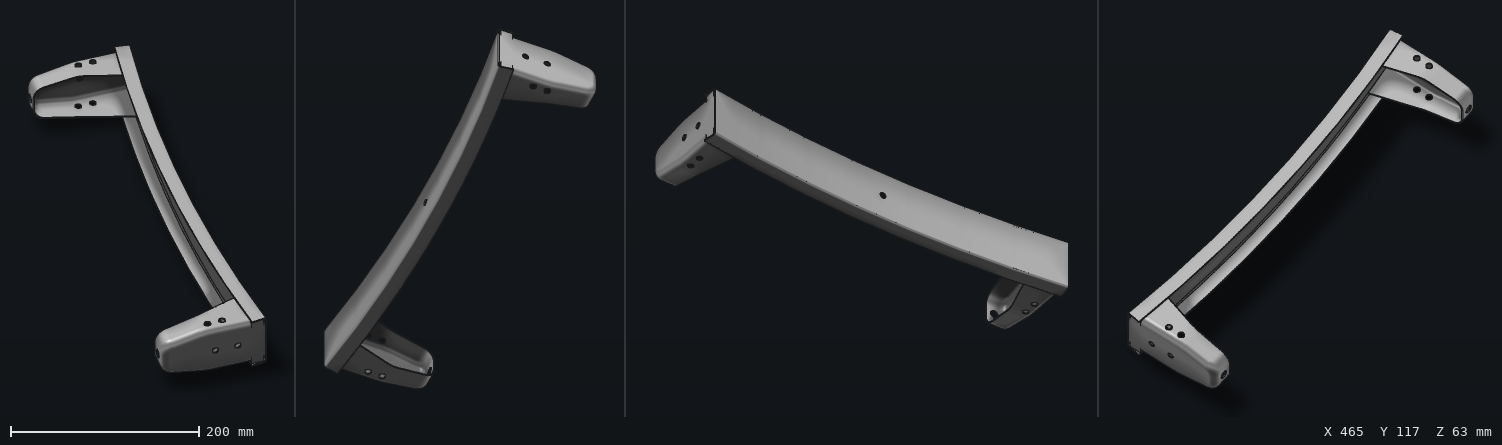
import cadquery as cq
import math

LENGTH = 465.0
DEPTH = 117.0
HEIGHT = 63.0
SHEET = 1.5

FRONT_RADIUS = 1627.5
BAR_DEPTH = 17.0
BEND_RADIUS = 3.0
BACK_RADIUS = FRONT_RADIUS - BAR_DEPTH
HALF_ANGLE = math.asin(LENGTH / 2 / FRONT_RADIUS)
ARC_CENTER_Y = BACK_RADIUS * math.cos(HALF_ANGLE)
BAR_END_FRONT_Y = ARC_CENTER_Y - FRONT_RADIUS * math.cos(HALF_ANGLE)

LEG_OUTER_X = -BACK_RADIUS * math.sin(HALF_ANGLE)
LEG_HALF_HEIGHT = HEIGHT / 2 - SHEET
LEG_BACK_Y = 0.0
LEG_BLANK_WIDTH = 56.0
TAPER_START_Y = -66.5
TAPER_ANGLE = 11.0
TAPER_RADIUS = 74.5
TOE_RADIUS = 15.0
LEG_EDGE_RADIUS = 8.5
CORNER_BACK_Y = -3.3

RIM_ROOT_Y = -23.2
RIM_ROOT_WIDTH = 42.0
RIM_KNEE_Y = -67.5
RIM_KNEE_WIDTH = 28.5
RIM_TOE_WIDTH = 25.0
RIM_KNEE_RADIUS = 51.0

SMALL_HOLE = 7.0
TOE_HOLE = 9.5
SIDE_HOLE_YS = (-32.0, -57.0)
RIM_HOLE_YS = (-46.0, -62.5)
RIM_HOLE_X = -218.0
TOE_HOLE_X = -215.5


def rod(plane, origin, diameter, length):
    """Hole cutter running both ways from its origin along the plane's normal."""
    return cq.Workplane(plane, origin=origin).circle(diameter / 2).extrude(length / 2, both=True)


def arc_bar(inner_radius, outer_radius, height, back_edge_radius):
    """Rectangular section swept along the bow, with its long back edges rounded."""
    half_height = height / 2
    sweep = math.degrees(2 * HALF_ANGLE)
    section = (
        cq.Workplane("YZ")
        .moveTo(-outer_radius, -half_height)
        .lineTo(-outer_radius, half_height)
        .lineTo(-inner_radius - back_edge_radius, half_height)
        .radiusArc((-inner_radius, half_height - back_edge_radius), back_edge_radius)
        .lineTo(-inner_radius, -half_height + back_edge_radius)
        .radiusArc((-inner_radius - back_edge_radius, -half_height), back_edge_radius)
        .close()
    )
    swept = section.revolve(sweep, (0, 0, 0), (0, 1, 0))
    return swept.rotate((0, 0, 0), (0, 0, 1), -sweep / 2).translate((0, ARC_CENTER_Y, 0))


def channel_bar():
    """Bowed channel: web at the back, flanges reaching forward, one hole in the middle."""
    outer = arc_bar(BACK_RADIUS, FRONT_RADIUS, HEIGHT, BEND_RADIUS)
    hollow = arc_bar(BACK_RADIUS + SHEET, FRONT_RADIUS, HEIGHT - 2 * SHEET, BEND_RADIUS - SHEET)
    return outer.cut(hollow).cut(rod("XZ", (0, 0, 0), SMALL_HOLE, DEPTH))


def leg_blank():
    """Leg outline with its taper and rounded toe, as a solid block."""
    toe_half_height = LEG_HALF_HEIGHT - (DEPTH + TAPER_START_Y) * math.tan(math.radians(TAPER_ANGLE))
    outline = [
        (LEG_BACK_Y, LEG_HALF_HEIGHT),
        (TAPER_START_Y, LEG_HALF_HEIGHT),
        (-DEPTH, toe_half_height),
        (-DEPTH, -toe_half_height),
        (TAPER_START_Y, -LEG_HALF_HEIGHT),
        (LEG_BACK_Y, -LEG_HALF_HEIGHT),
    ]
    blank = (
        cq.Workplane("YZ", origin=(LEG_OUTER_X, 0, 0))
        .polyline(outline)
        .close()
        .extrude(LEG_BLANK_WIDTH)
    )
    blank = blank.edges("|X and <Y").fillet(TOE_RADIUS)
    taper_edges = cq.selectors.BoxSelector(
        (-LENGTH, TAPER_START_Y - 4.5, -HEIGHT), (LENGTH, TAPER_START_Y + 4.5, HEIGHT)
    )
    return blank.edges("|X").edges(taper_edges).fillet(TAPER_RADIUS)


def rim_trim():
    """Full-height prism that keeps only the tapering width of the leg rim."""
    root_slope = (RIM_ROOT_WIDTH - RIM_KNEE_WIDTH) / (RIM_ROOT_Y - RIM_KNEE_Y)
    back_width = RIM_ROOT_WIDTH + root_slope * (LEG_BACK_Y - RIM_ROOT_Y)
    trim = (
        cq.Workplane("XY", origin=(LEG_OUTER_X, 0, -HEIGHT / 2))
        .moveTo(0, LEG_BACK_Y)
        .lineTo(back_width, LEG_BACK_Y)
        .lineTo(RIM_KNEE_WIDTH, RIM_KNEE_Y)
        .lineTo(RIM_TOE_WIDTH, -DEPTH)
        .lineTo(0, -DEPTH)
        .close()
        .extrude(HEIGHT)
    )
    knee = cq.selectors.NearestToPointSelector((LEG_OUTER_X + RIM_KNEE_WIDTH, RIM_KNEE_Y, 0))
    return trim.edges("|Z").edges(knee).fillet(RIM_KNEE_RADIUS)


def corner_pad():
    """Pad that squares off the outside of the upper rolled edge inside the bar."""
    length = CORNER_BACK_Y - BAR_END_FRONT_Y
    axis_z = LEG_HALF_HEIGHT - LEG_EDGE_RADIUS
    block = cq.Workplane("XY").box(LEG_EDGE_RADIUS, length, LEG_EDGE_RADIUS, centered=False)
    block = block.translate((LEG_OUTER_X, BAR_END_FRONT_Y, axis_z))
    mid_sheet_diameter = 2 * LEG_EDGE_RADIUS - SHEET
    return block.cut(rod("XZ", (LEG_OUTER_X + LEG_EDGE_RADIUS, 0, axis_z), mid_sheet_diameter, DEPTH))


def leg():
    """Left leg: side plate with a rolled rim, open towards the middle and the bar."""
    rolled = leg_blank().edges("<X").edges("not >Y").fillet(LEG_EDGE_RADIUS)
    body = rolled.faces(">X or >Y").shell(-SHEET).intersect(rim_trim())
    body = body.union(corner_pad()).union(corner_pad().mirror("XY"))
    web_front = cq.Workplane("XY").cylinder(HEIGHT, BACK_RADIUS + SHEET)
    body = body.cut(web_front.translate((0, ARC_CENTER_Y, 0)))
    for y in SIDE_HOLE_YS:
        body = body.cut(rod("YZ", (LEG_OUTER_X, y, 0), SMALL_HOLE, LEG_BLANK_WIDTH))
    for y in RIM_HOLE_YS:
        body = body.cut(rod("XY", (RIM_HOLE_X, y, 0), SMALL_HOLE, HEIGHT))
    return body.cut(rod("XZ", (TOE_HOLE_X, -DEPTH, 0), TOE_HOLE, BAR_DEPTH))


left_leg = leg()
right_leg = left_leg.mirror("YZ")
result = channel_bar().union(left_leg).union(right_leg)